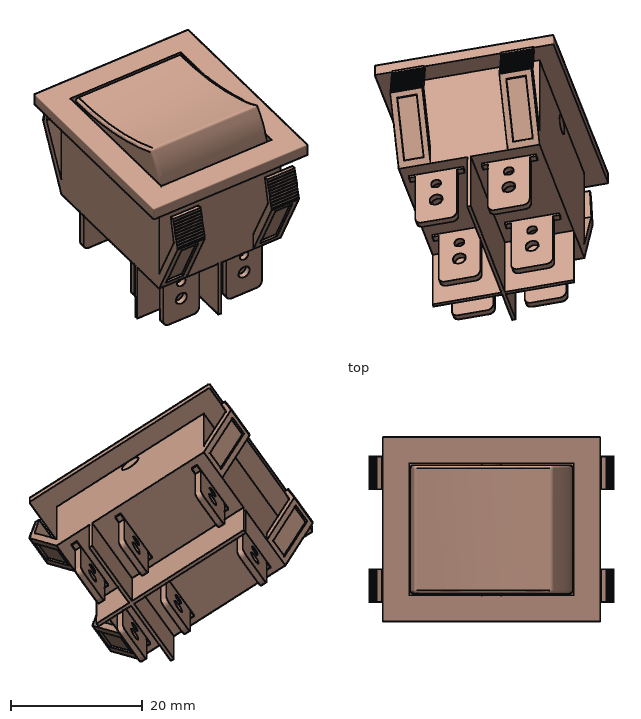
import math

import cadquery as cq

base_height = 10.0
body_height = 17.02
bezel_thickness = 2.0
body_bottom = base_height
body_top = body_bottom + body_height
bezel_top = body_top + bezel_thickness
body_x = 26.95
body_y = 22.1
bezel_x = 33.0
bezel_y = 28.0
bezel_edge_radius = 0.2

pin_diameter = 3.0
pivot_z = body_top - pin_diameter / 2
rocker_radius = 12.32
rocker_width = 19.5
rocker_tilt = 11.5
rocker_tip_angle = 30.7
rocker_dish = 1.15
rocker_depth = 2.0
rocker_edge_radius = 0.5

pocket_x = 25.0
pocket_y = 20.0
pocket_depth = 8.15
pocket_floor_z = bezel_top - pocket_depth

overall_x = 37.0
clip_width = 5.0
clip_knee_x = overall_x / 2
clip_knee_z = 21.05
clip_tip_z = 26.38
clip_inner_tip = (16.65, 26.27)
clip_inner_knee = (17.5, 21.72)
clip_root_z = 12.9
clip_steps = 10
step_run = 0.1
step_rise = (clip_tip_z - clip_knee_z) / (clip_steps + 0.5)

recess_width = 3.07
recess_depth = 0.37
recess_top_z = 20.2
recess_bottom_z = 11.05

terminal_x_positions = (-11.0, 3.0, 11.0)
terminal_y_positions = (-5.7, 5.7)
terminal_end_z = 0.15
terminal_thickness = 1.0
terminal_width = 6.5
terminal_corner_radius = 1.0
shoulder_width = 8.5
shoulder_height = 0.4
small_hole_diameter = 1.5
small_hole_z = 7.5
large_hole_diameter = 2.0
large_hole_z = 4.3
wall_thickness = 0.55
cross_wall_x = 7.2


def block(size_x, size_y, bottom, top, x=0, y=0):
    """Upright box centred on (x, y) between two heights."""
    box = cq.Workplane("XY").box(size_x, size_y, top - bottom, centered=(True, True, False))
    return box.translate((x, y, bottom))


def make_clip():
    """Bent clip with a stepped grip, on the +X side and centred on Y = 0."""
    body_side = body_x / 2
    outline = [(0, clip_root_z), (body_side, clip_root_z), clip_inner_knee, clip_inner_tip]
    for step in range(clip_steps + 1):
        x = clip_knee_x - (clip_steps - step) * step_run
        riser_top = clip_tip_z - step * step_rise
        riser_bottom = max(riser_top - step_rise, clip_knee_z)
        outline += [(x, riser_top), (x, riser_bottom)]
    outline += [(body_side, body_bottom), (0, body_bottom)]
    clip = cq.Workplane("XZ").polyline(outline).close().extrude(clip_width / 2, both=True)

    slope_x = clip_knee_x - body_side
    slope_z = clip_knee_z - body_bottom
    slope_length = math.hypot(slope_x, slope_z)
    inward = (-slope_z / slope_length * recess_depth, slope_x / slope_length * recess_depth)
    face_points = [
        (body_side + slope_x * (z - body_bottom) / slope_z, z)
        for z in (recess_bottom_z, recess_top_z)
    ]
    floor_points = [(x + inward[0], z + inward[1]) for x, z in reversed(face_points)]
    recess = (
        cq.Workplane("XZ").polyline(face_points + floor_points).close()
        .extrude(recess_width / 2, both=True)
    )
    return clip.cut(recess)


def make_terminal():
    """Blade with a shoulder and two holes, centred on X = Y = 0."""
    blade = block(terminal_thickness, terminal_width, terminal_end_z, body_bottom)
    blade = blade.edges("|X and <Z").fillet(terminal_corner_radius)
    shoulder_bottom = body_bottom - shoulder_height
    shoulder = block(terminal_thickness, shoulder_width, shoulder_bottom, body_bottom)
    terminal = blade.union(shoulder)
    for diameter, z in ((small_hole_diameter, small_hole_z), (large_hole_diameter, large_hole_z)):
        hole = cq.Workplane("YZ").center(0, z).circle(diameter / 2).extrude(terminal_thickness, both=True)
        terminal = terminal.cut(hole)
    return terminal


def make_housing():
    """Bezel, body, clips, terminals and walls in one piece, with the pocket and the pin holes."""
    bezel = block(bezel_x, bezel_y, body_top, bezel_top)
    bezel = bezel.edges("|Z or >Z").fillet(bezel_edge_radius)
    housing = block(body_x, body_y, body_bottom, body_top).union(bezel)

    right_clip = make_clip()
    left_clip = right_clip.mirror("YZ")
    clip_y = (body_y - clip_width) / 2
    for y in (-clip_y, clip_y):
        housing = housing.union(right_clip.translate((0, y, 0))).union(left_clip.translate((0, y, 0)))

    terminal = make_terminal()
    for x in terminal_x_positions:
        for y in terminal_y_positions:
            housing = housing.union(terminal.translate((x, y, 0)))

    housing = housing.union(block(body_x, wall_thickness, 0, body_bottom))
    housing = housing.union(block(wall_thickness, body_y, 0, body_bottom, x=cross_wall_x))

    housing = housing.cut(block(pocket_x, pocket_y, pocket_floor_z, bezel_top))
    pin_hole = (
        cq.Workplane("XZ").center(0, pivot_z).circle(pin_diameter / 2)
        .extrude(body_y / 2, both=True)
    )
    return housing.cut(pin_hole)


def make_rocker():
    """Round-ended paddle with a dished top, tilted about the pivot axis."""
    tip_x = rocker_radius * math.cos(math.radians(rocker_tip_angle))
    tip_z = rocker_radius * math.sin(math.radians(rocker_tip_angle))
    underside_x = math.sqrt(rocker_radius**2 - rocker_depth**2)
    rocker = (
        cq.Workplane("XZ")
        .moveTo(-underside_x, -rocker_depth)
        .lineTo(underside_x, -rocker_depth)
        .threePointArc((rocker_radius, 0), (tip_x, tip_z))
        .threePointArc((0, tip_z - rocker_dish), (-tip_x, tip_z))
        .threePointArc((-rocker_radius, 0), (-underside_x, -rocker_depth))
        .close()
        .extrude(rocker_width / 2, both=True)
    )
    rocker = rocker.faces("not <Z").edges("not <Z").fillet(rocker_edge_radius)
    rocker = rocker.rotate((0, 0, 0), (0, 1, 0), -rocker_tilt)
    return rocker.translate((0, 0, pivot_z))


def make_pin(side):
    """Pivot pin from the rocker's side face to the outside of the body; side is -1 or 1."""
    length = (body_y - rocker_width) / 2
    pin = cq.Workplane("XY").circle(pin_diameter / 2).extrude(length / 2, both=True)
    pin = pin.rotate((0, 0, 0), (1, 0, 0), 90)
    return pin.translate((0, side * (rocker_width + length) / 2, pivot_z))


housing = make_housing()
rocker = make_rocker()
pivot_pins = [make_pin(side) for side in (-1, 1)]

result = cq.Compound.makeCompound([housing.val(), rocker.val(), *[pin.val() for pin in pivot_pins]])